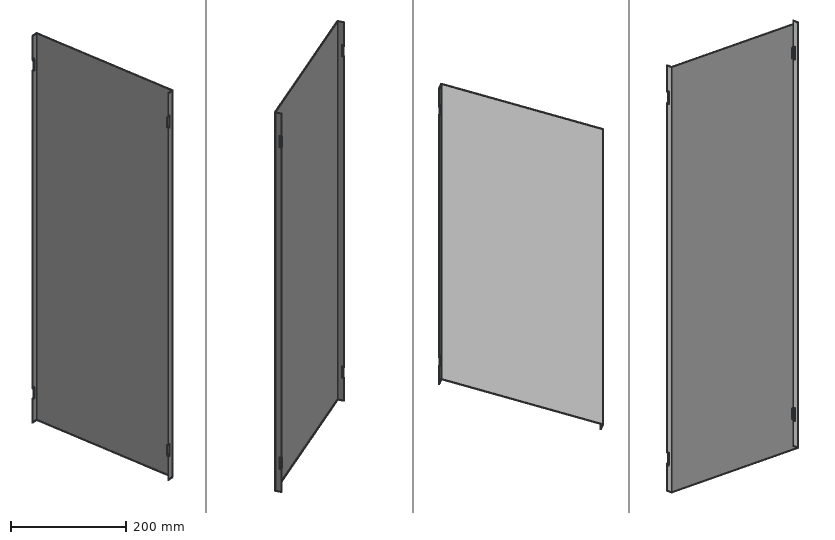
import math

import cadquery as cq

width = 300.0
depth = 12.5
height = 800.0
sheet = 1.0
free_edge = -depth / 2

joggle_offset = 3.0
joggle_depth = 4.0
joggle_outer_end = 48.5
joggle_inner_end = 72.0

back_slope = 60.0
outer_slope = 36.0
inner_slope = 54.0


def channel():
    """U-shaped sheet: a flat web at +Y with a flange along each side pointing to -Y."""
    body = cq.Workplane("XY").box(width, depth, height, centered=(True, True, False))
    hollow = cq.Workplane("XY").box(width - 2 * sheet, depth, height, centered=(True, True, False))
    return body.cut(hollow.translate((0, -sheet, 0)))


def wall_run(slope):
    """Distance a wall covers along the flange plane while it reaches the full inward offset."""
    return joggle_offset / math.tan(math.radians(slope))


def wall_growth(slope):
    """Shift of a wall's foot on the inner skin that keeps the sheet thickness around the bend."""
    return sheet * math.tan(math.radians(slope / 2))


def rectangle(x, back, low, high):
    """Wire in the plane at x, from the flange's free edge to `back`."""
    points = [(free_edge, low), (back, low), (back, high), (free_edge, high)]
    return cq.Workplane("YZ", origin=(x, 0, 0)).polyline(points).close().wire().val()


def joggle_form(x, back_growth=0.0, outer_growth=0.0, inner_growth=0.0):
    """Tapered block reaching inward from the plane at x, at the top of the -X flange."""
    back = free_edge + joggle_depth + back_growth
    low = height - joggle_inner_end - inner_growth
    high = height - joggle_outer_end + outer_growth
    foot = rectangle(x, back, low, high)
    crest = rectangle(
        x + joggle_offset,
        back - wall_run(back_slope),
        low + wall_run(inner_slope),
        high - wall_run(outer_slope),
    )
    return cq.Workplane(cq.Solid.makeLoft([foot, crest], True))


def at_all_joggles(form):
    """The form repeated at both ends of both flanges."""
    lower = form.mirror("XY").translate((0, 0, height))
    one_flange = form.union(lower)
    return one_flange.union(one_flange.mirror("YZ"))


outer_skin = joggle_form(-width / 2)
inner_skin = joggle_form(
    -width / 2 + sheet,
    wall_growth(back_slope),
    wall_growth(outer_slope),
    wall_growth(inner_slope),
)

result = channel().union(at_all_joggles(inner_skin)).cut(at_all_joggles(outer_skin))